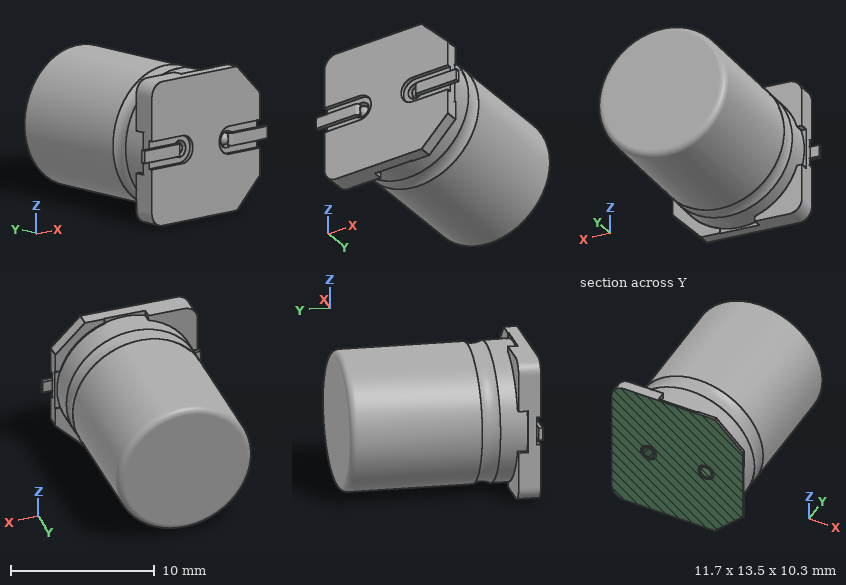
import cadquery as cq

base_width = 10.3
base_half = base_width / 2
floor_height = 0.9
post_height = 1.59
low_pad_height = 0.97
pad_inner_edge = 1.51
corner_radius = 1.0
corner_chamfer = 2.19

can_radius = 5.002
can_top = 13.5
can_top_fillet = 0.5
groove_bottom = 2.85
groove_top = 4.15
groove_depth = 0.16

lead_span = 11.7
lead_width = 0.89
lead_thickness = 0.3
bend_radius = 0.28
wire_radius = lead_width / 2
wire_offset = 2.25
bend_inner_x = 2.32
hole_radius = 0.6
slot_half_width = 1.0
dome_tip = 0.22
wire_dome_center = dome_tip + wire_radius


def box(x_min, x_max, y_min, y_max, z_min, z_max):
    """Axis-aligned block between the given limits."""
    size = (x_max - x_min, y_max - y_min, z_max - z_min)
    return cq.Workplane("XY").box(*size, centered=False).translate((x_min, y_min, z_min))


def rod(radius, x, y_min, y_max):
    """Cylinder parallel to Y, centred on z = 0."""
    solid = cq.Solid.makeCylinder(radius, y_max - y_min, cq.Vector(x, y_min, 0), cq.Vector(0, 1, 0))
    return cq.Workplane(obj=solid)


def make_can():
    """Rounded can with a shallow crimp groove around it."""
    groove_middle = (groove_bottom + groove_top) / 2
    waist_radius = can_radius - groove_depth
    profile = (
        cq.Workplane("XY")
        .moveTo(0, floor_height)
        .lineTo(can_radius, floor_height)
        .lineTo(can_radius, groove_bottom)
        .threePointArc((waist_radius, groove_middle), (can_radius, groove_top))
        .lineTo(can_radius, can_top)
        .lineTo(0, can_top)
        .close()
    )
    can = profile.revolve(360, (0, 0, 0), (0, 1, 0))
    return can.faces(">Y").edges().fillet(can_top_fillet)


def make_outline():
    """Full-height block with the base's two rounded and two chamfered corners."""
    outline = box(-base_half, base_half, 0, post_height, -base_half, base_half)
    outline = outline.faces("<X").edges("|Y").fillet(corner_radius)
    return outline.faces(">X").edges("|Y").chamfer(corner_chamfer)


def make_base():
    """Square plate with corner pads, a seat for the can and two lead openings."""
    base = box(-base_half, base_half, 0, floor_height, -base_half, base_half)

    for z_min, z_max in ((-base_half, -pad_inner_edge), (pad_inner_edge, base_half)):
        post = box(-base_half, -pad_inner_edge, 0, post_height, z_min, z_max)
        pad = box(pad_inner_edge, base_half, 0, low_pad_height, z_min, z_max)
        base = base.union(post).union(pad)
    base = base.intersect(make_outline())

    base = base.cut(rod(can_radius, 0, floor_height, post_height))

    for side in (-1, 1):
        center = side * wire_offset
        x_min, x_max = sorted((center, side * base_half))
        slot = box(x_min, x_max, 0, lead_thickness, -slot_half_width, slot_half_width)
        base = base.cut(slot)
        base = base.cut(rod(slot_half_width, center, 0, lead_thickness))
        base = base.cut(rod(hole_radius, center, 0, floor_height))
    return base


def make_lead(side):
    """Flat foot with a rounded heel, joined to a dome-ended wire that meets the can."""
    foot = box(bend_inner_x, lead_span / 2, 0, lead_thickness, -wire_radius, wire_radius)
    foot = foot.edges("|Z and <X and <Y").fillet(bend_radius)
    wire = rod(wire_radius, wire_offset, wire_dome_center, floor_height)
    dome = cq.Workplane("XY").sphere(wire_radius).translate((wire_offset, wire_dome_center, 0))
    dome = dome.intersect(box(0, lead_span, 0, wire_dome_center, -lead_width, lead_width))
    lead = foot.union(wire).union(dome)
    return lead if side > 0 else lead.mirror("YZ")


can = make_can()
base = make_base()
leads = [make_lead(side) for side in (-1, 1)]

bodies = [can, base, *leads]
result = cq.Compound.makeCompound([body.solids().val() for body in bodies])